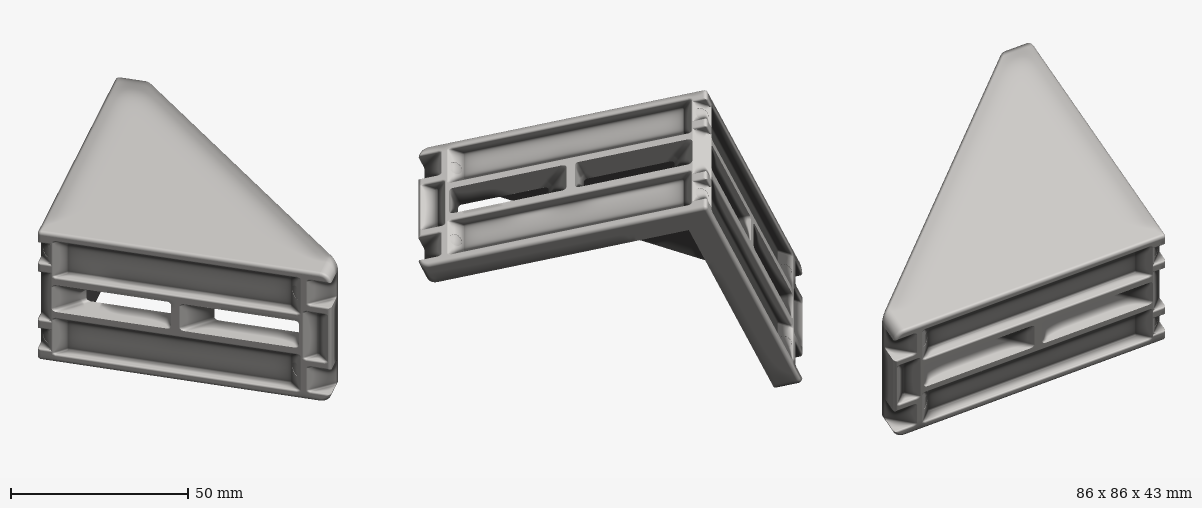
import cadquery as cq

side = 86.0
height = 43.0
end_width = 8.1
wall = 8.0
web = 3.4
tip_radius = 3.3
edge_radius = 1.0
small_radius = 0.5
overshoot = 1.7

bevel = 4.3
corner_pocket_height = 6.8
corner_pocket_z = 14.4

long_start = 4.5
long_end = 77.05
long_depth = 3.5
long_height = 11.95
long_z = 12.9

window_count = 2
window_start = bevel
window_length = 34.9
window_pitch = 37.4
window_height = 9.0
window_radius = 1.0

tip_pocket_start = 78.95
tip_pocket_depth = 6.0
tip_pocket_height = 8.25
tip_pocket_z = 14.5
groove_start = 77.8
groove_end = 85.1
groove_depth = 3.3
groove_height = 15.9

mark_diameter = 4.0
mark_depth = 0.1


def prism(points, prism_height, z=0.0):
    """Vertical prism over a plan outline, centred on height z."""
    base = cq.Workplane("XY", origin=(0, 0, z - prism_height / 2))
    return base.polyline(points).close().extrude(prism_height)


def swap_legs(shape):
    """Mirror a shape across the plane X = Y."""
    return shape.mirror("YZ").rotate((0, 0, 0), (0, 0, 1), -90)


def pocket(points, wall_height, z):
    """Cutter for a pocket in the Y = 0 face, rounded at its inner edges and around its mouth."""
    core = prism(points, wall_height, z).edges().fillet(small_radius)
    block = cq.Workplane("XY", origin=(0, 0, z)).box(2 * side, side, height, centered=(False, False, True))
    hollowed = block.cut(core)
    rim = hollowed.faces("<Y").wires(cq.selectors.LengthNthSelector(0))
    return block.cut(hollowed.newObject(rim.edges().vals()).fillet(small_radius))


def ledge_flare(wall_height, z):
    """Opening across the corner whose upper and lower edges are rounded into the Y = 0 face."""
    half = wall_height / 2
    r = small_radius
    section = (
        cq.Workplane("YZ", origin=(0, 0, z))
        .moveTo(0, half + r)
        .radiusArc((r, half), -r)
        .lineTo(r, -half)
        .radiusArc((0, -half - r), -r)
        .close()
    )
    return section.extrude(bevel)


def bracket_body():
    """Solid outer shape with all outer edges rounded."""
    outline = [(0, 0), (side, 0), (side, end_width), (end_width, side), (0, side)]
    body = prism(outline, height)
    body = body.faces(">X or >Y").edges("|Y or |X").fillet(tip_radius)
    legs = body.faces("<X or <Y").edges()
    slope = body.faces(cq.selectors.DirectionMinMaxSelector(cq.Vector(1, 1, 0))).edges("not |Z")
    return legs.add(slope).fillet(edge_radius)


def cavity():
    """Space between the legs, open below and along the sloping edge."""
    cavity_height = height - web
    reach = 2 * side
    return prism([(wall, wall), (reach, wall), (wall, reach)], cavity_height, -web / 2)


def long_pocket():
    """Long pocket in the Y = 0 face with a mark on its far sloping end."""
    points = [
        (long_start - overshoot, -overshoot),
        (long_end + overshoot, -overshoot),
        (long_end - long_depth, long_depth),
        (long_start + long_depth, long_depth),
    ]
    cutter = pocket(points, long_height, long_z)
    middle = long_depth / 2
    return cutter.union(mark(long_end - middle, middle, long_z))


def mark(x, y, z):
    """Shallow disc sunk into a face that looks towards -X and -Y."""
    plane = cq.Plane(origin=(x, y, z), xDir=(0, 0, 1), normal=(1, 1, 0))
    return cq.Workplane(plane).circle(mark_diameter / 2).extrude(mark_depth)


def corner_cut(cut_height, z):
    """Bevel of the corner between the legs over part of its height."""
    points = [(bevel + overshoot, -overshoot), (-overshoot, bevel + overshoot), (-overshoot, -overshoot)]
    core = prism(points, cut_height, z).edges().fillet(small_radius)
    limit = prism([(bevel, 0), (0, bevel), (0, 0)], height)
    flare = ledge_flare(cut_height, z).intersect(limit)
    return core.union(flare).union(swap_legs(flare))


def corner_pocket():
    """Upper corner bevel with its mark."""
    middle = bevel / 2
    return corner_cut(corner_pocket_height, corner_pocket_z).union(mark(middle, middle, corner_pocket_z))


def tip_pocket():
    """Pocket open at the leg tip, with a sloping floor."""
    slope = tip_pocket_depth / (side - tip_pocket_start)
    outer_x = side + overshoot
    points = [
        (tip_pocket_start - overshoot / slope, -overshoot),
        (outer_x, -overshoot),
        (outer_x, (outer_x - tip_pocket_start) * slope),
    ]
    return pocket(points, tip_pocket_height, tip_pocket_z)


def tip_groove():
    """Tapered groove at mid height of the leg tip."""
    points = [
        (groove_start - overshoot, -overshoot),
        (groove_end + overshoot, -overshoot),
        (groove_end - groove_depth, groove_depth),
        (groove_start + groove_depth, groove_depth),
    ]
    return pocket(points, groove_height, 0)


def window(start):
    """Window through the leg, narrowing inwards on the side nearest the corner."""
    end = start + window_length
    points = [
        (start - overshoot, -overshoot),
        (end, -overshoot),
        (end, wall + overshoot),
        (start + wall + overshoot, wall + overshoot),
    ]
    tunnel_edges = prism(points, window_height).edges("not |Z").edges("not <Y").edges("not >Y")
    return tunnel_edges.fillet(window_radius)


upper_cuts = [long_pocket(), tip_pocket(), corner_pocket()]
leg_cuts = [tip_groove(), corner_cut(groove_height, 0)]
leg_cuts += [window(window_start + i * window_pitch) for i in range(window_count)]
for cut in upper_cuts:
    leg_cuts += [cut, cut.mirror("XY")]

result = bracket_body().cut(cavity())
for cut in leg_cuts:
    result = result.cut(cut).cut(swap_legs(cut))